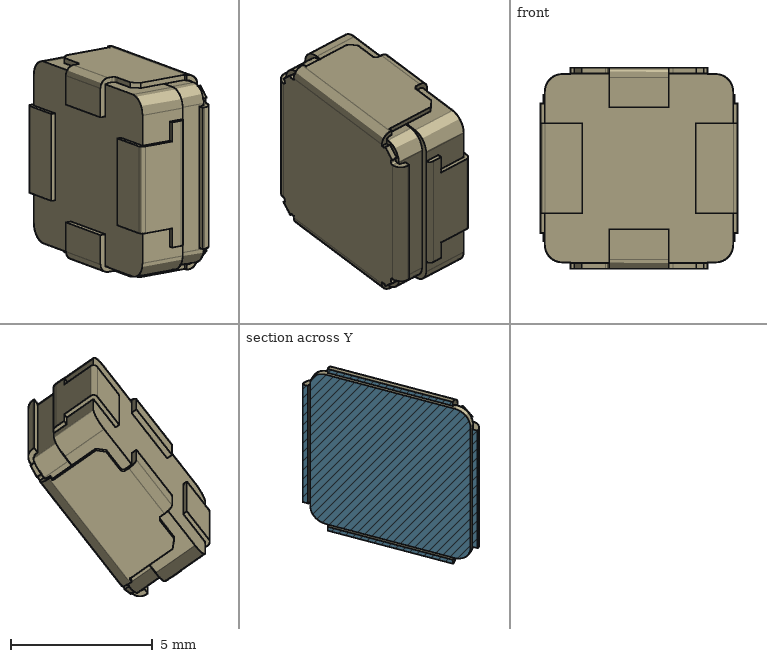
import cadquery as cq
import math


total_width = 6.97
total_depth = 3.23
total_height = 7.11

base_size = 6.66
base_depth = 1.735
core_width = 6.215
core_height = 6.57
body_corner_radius = 0.625

terminal_wide_height = 4.58
terminal_narrow_height = 3.18
terminal_wide_start = 1.17
terminal_back_radius = 0.19
foot_thickness = 0.16
foot_inner_x = 2.01

sheet = 0.21
flange_thickness = 0.19
shield_back = total_depth - sheet
plate_front = shield_back - sheet
shield_bend = 0.39
shield_inner_bend = shield_bend - sheet
bend_side_end = shield_back - 0.455
bend_half_width = 2.425
flange_half_width = 2.29
flange_front = 0.4
flange_chamfer = 0.26
lip_outer_x = 3.385
lip_half_height = 2.59

tab_half_width = 1.06
tab_end_z = 2.155
tab_bend = 0.335
tab_inner_bend = tab_bend - flange_thickness
tab_root_fillet = 0.135

plate_half_width = lip_outer_x - shield_bend
plate_half_height = total_height / 2 - shield_bend
chamfer_inner_x = 2.61
chamfer_inner_z = 2.795
relief_radius = 0.07


def block(x_range, y_range, z_range):
    """Box spanning the given (low, high) ranges."""
    lows, highs = zip(x_range, y_range, z_range)
    size = [high - low for low, high in zip(lows, highs)]
    return cq.Workplane("XY").box(*size, centered=False).translate(lows)


def centred_block(width, y_range, height):
    """Box centred in X and Z."""
    return block((-width / 2, width / 2), y_range, (-height / 2, height / 2))


def make_body():
    base = centred_block(base_size, (0, base_depth), base_size).edges("|Y").fillet(body_corner_radius)
    core = centred_block(core_width, (0, plate_front), core_height).edges("|Y").fillet(body_corner_radius)
    return base.union(core)


def make_terminal():
    """Terminal on +X: a T-shaped side plate that turns under the base as a foot."""
    outer_x = total_width / 2
    x_range = (foot_inner_x, outer_x)
    narrow = block(
        x_range,
        (-foot_thickness, base_depth),
        (-terminal_narrow_height / 2, terminal_narrow_height / 2),
    )
    wide = block(
        x_range,
        (terminal_wide_start, base_depth),
        (-terminal_wide_height / 2, terminal_wide_height / 2),
    )
    narrow = narrow.edges(">X and <Y").fillet(foot_thickness)
    narrow = narrow.edges(">X and >Y").fillet(terminal_back_radius)
    wide = wide.edges(">X and >Y").fillet(terminal_back_radius)
    return narrow.union(wide)


def flange_outline():
    """Outline in XY shared by the two shield flanges and their tabs."""
    half = [
        (bend_half_width, shield_back),
        (bend_half_width, bend_side_end),
        (flange_half_width, bend_side_end),
        (flange_half_width, flange_front + flange_chamfer),
        (flange_half_width - flange_chamfer, flange_front),
        (tab_half_width, flange_front),
        (tab_half_width, -sheet),
    ]
    mirrored = [(-x, y) for x, y in reversed(half)]
    prism = (
        cq.Workplane("XY")
        .polyline(half + mirrored)
        .close()
        .extrude(total_height / 2, both=True)
    )
    for side in (-1, 1):
        root = cq.selectors.NearestToPointSelector((side * tab_half_width, flange_front, 0))
        prism = prism.edges("|Z").edges(root).fillet(tab_root_fillet)
    return prism


def make_flanges():
    """Back plate, both flanges and both tabs bent from one strip."""
    inner_height = total_height - 2 * flange_thickness
    width = 2 * bend_half_width
    outer = centred_block(width, (-sheet, shield_back), total_height)
    outer = outer.edges("|X and >Y").fillet(shield_bend)
    outer = outer.edges("|X and <Y").fillet(tab_bend)
    inner = centred_block(width, (0, plate_front), inner_height)
    inner = inner.edges("|X and >Y").fillet(shield_inner_bend)
    inner = inner.edges("|X and <Y").fillet(tab_inner_bend)
    gap_between_tabs = centred_block(width, (-sheet, plate_front / 2), 2 * tab_end_z)
    return outer.cut(inner).cut(gap_between_tabs).intersect(flange_outline())


def make_lips():
    """Back plate with a short lip rolled forward along each X side."""
    height = 2 * lip_half_height
    outer = centred_block(2 * lip_outer_x, (bend_side_end, shield_back), height)
    outer = outer.edges("|Z and >Y").fillet(shield_bend)
    inner = centred_block(2 * (lip_outer_x - sheet), (0, plate_front), height)
    inner = inner.edges("|Z and >Y").fillet(shield_inner_bend)
    return outer.cut(inner)


def arc_middle(centre, radius, middle_angle):
    """Middle point of a quarter arc, at the given angle in degrees about its centre."""
    angle = math.radians(middle_angle)
    return (centre[0] + radius * math.cos(angle), centre[1] + radius * math.sin(angle))


def make_plate_quarter():
    """Flat quarter of the back plate in +X +Z, with its chamfer and relief notches."""
    top_floor_z = plate_half_height - relief_radius
    side_floor_x = plate_half_width - relief_radius
    top_centre = (chamfer_inner_x - relief_radius, plate_half_height)
    side_upper_centre = (plate_half_width, chamfer_inner_z - relief_radius)
    side_lower_centre = (plate_half_width, lip_half_height + relief_radius)
    return (
        cq.Workplane("XZ", origin=(0, shield_back, 0))
        .lineTo(0, plate_half_height)
        .lineTo(bend_half_width, plate_half_height)
        .lineTo(bend_half_width, top_floor_z)
        .lineTo(top_centre[0], top_floor_z)
        .threePointArc(
            arc_middle(top_centre, relief_radius, -45), (chamfer_inner_x, plate_half_height)
        )
        .lineTo(plate_half_width, chamfer_inner_z)
        .threePointArc(
            arc_middle(side_upper_centre, relief_radius, 135),
            (side_floor_x, side_upper_centre[1]),
        )
        .lineTo(side_floor_x, side_lower_centre[1])
        .threePointArc(
            arc_middle(side_lower_centre, relief_radius, 225),
            (plate_half_width, lip_half_height),
        )
        .lineTo(plate_half_width, 0)
        .close()
        .extrude(sheet)
    )


def make_shield():
    shield = make_flanges().union(make_lips())
    right_half = make_plate_quarter()
    right_half = right_half.union(right_half.mirror("XY"))
    return shield.union(right_half).union(right_half.mirror("YZ"))


terminal = make_terminal()
result = make_body().union(terminal).union(terminal.mirror("YZ")).union(make_shield())